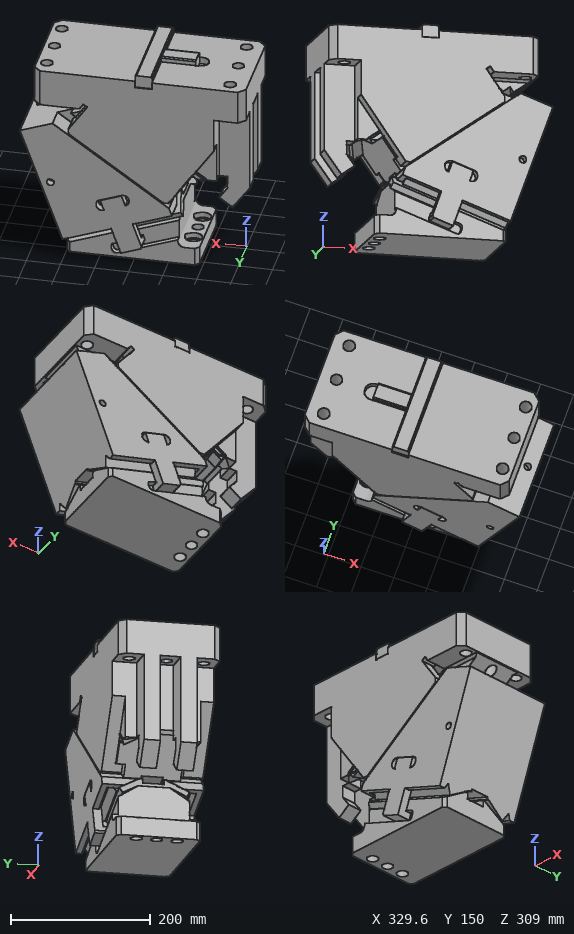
import cadquery as cq
import math

WIDTH = 150.0
HALF = WIDTH / 2
HEIGHT = 309.0
REACH = 329.5

DRIVE_ANGLE = 35
BASE_ANGLE = -20
DRIVE_ORIGIN = (112.5, 99.2)
BASE_ORIGIN = (106.5, 85.0)
ROOF_SLOPE = math.tan(math.radians(30))
RIDGE_HALF = 19.0
PLATE_THICK = 9.2

HOLDER_TOP = 301.0
HOLDER_LENGTH = 310.0
FRONT_STEP_Z = 250.0
REAR_STEP_Z = 245.0
CORNER_CHAMFER = 10.2
WALL_X = 45.0
WALL_BACK_X = 131.8
WALL_BOTTOM_Z = 138.7
WALL_HALF = 55.7
LEG_INNER = 15.0
LEG_OUTER = 39.2
LEG_TOE = [(0, 123.2), (25.5, 88.5), (WALL_X, 102.8), (33, 119.5), (33, WALL_BOTTOM_Z)]
CHEEK_START = 2.3
CHEEK_END = 183.0
CHEEK_GAP = 0.5
CHEEK_CORNER_LONG = 6.5
CHEEK_CORNER_SHORT = 4.5
REAR_SLOT_WIDTH = 7.0
REAR_SLOT_TOP = 55.0
WEDGE_BOTTOM = 7.5
WEDGE_HALF = 37.2
WEDGE_CHAMFER = 4.0
RELIEF_HEIGHT, RELIEF_DEPTH = 9.2, 15.8
RELIEF_END = 211
WEAR_PLATE_START = -17.0
WALL_CUT_START = -34.5
MOUNT_HOLE = 17.0
DOWEL_HOLE = 16.5
FRONT_HOLES_X, FRONT_HOLES_Y = 25.5, 55.0
REAR_HOLES_X, REAR_HOLES_Y = 295.0, 50.0

KEY_X, KEY_WIDTH = 135.8, 25.0
KEY_BOTTOM_Z = 290.3
KEY_HALF = 73.0
KEY_CHAMFER = 2.0
STEM_X = 85.0
STEM_HALF = 12.5
STEM_POCKET_X = 68.5

NECK_HALF, NECK_SLOT_HALF = 42.0, 45.5
HEAD_HALF = 55.0
HEAD_BOTTOM, LIP_TOP = 18.8, 18.0
HEAD_EAVE = 54.0
EAVE_HALF = 52.5

SLIDE_LENGTH = 170.7
SLIDE_HEIGHT = 183.2
SLIDE_NOSE = 12.5
SHOE_START = 8.5
SHOE_TOP_HALF, SHOE_HALF, SHOE_DROP = 55.7, 52.5, 5.5
NOTCH_PEAK_HALF, NOTCH_PEAK = 60.5, 8.5
NOTCH_HALF = 66
SLIDE_GROOVE_TOP = 17.0
SCREW_HOLE, SCREW_DEPTH = 10.2, 13.2
SCREW_S, SCREW_N = 156.0, 92.5

STRAP_START, STRAP_WIDTH = 61.3, 33.3
STRAP_BOTTOM, STRAP_TOP = -41.0, 47.8
STRAP_CHAMFER = 2.5
STRAP_SLOT_MARGIN = 8.5
STRAP_SLOT_BOTTOM, STRAP_SLOT_TOP = 31.3, 48.5
HOOK_TOP = -30.3

BASE_HALF = 62.0
BASE_X0, BASE_X1 = 70.0, 263.5
FLANGE_Z = 27.5
BASE_BLANK_Z = 115.3
BASE_WALL_X = 100.5
FLANGE_FILLET = 10
BASE_FRONT_CHAMFER, BASE_REAR_CHAMFER = 6.3, 5.0
BASE_EAVE_HALF, BASE_EAVE = 52.0, -8.5
BASE_REAR_EAVE = -7.0
BASE_PLATE_START = -5.3
BASE_PLATE_END = 77.5
BASE_PLATE_FLAT, BASE_PLATE_FLAT_HALF = -3.3, 23.5
RIDGE_GROOVE_HALF, RIDGE_GROOVE_FLOOR = 15.8, 2.3
POCKET_HALF = 52.5
POCKET_FLOOR, POCKET_CEILING = -45.5, -29.5
POCKET_END = 110.5
POCKET_RADIUS = 6.0
FLANGE_HOLES_X, FLANGE_HOLES_Y = 84.5, 30.0
FLANGE_BORE, FLANGE_BORE_DEPTH = 25.0, 8.2


def side_plane(origin, angle):
    """XZ plane turned by `angle`: its first axis runs along the joint, its second away from it."""
    a = math.radians(angle)
    return cq.Plane(origin=(origin[0], 0, origin[1]), xDir=(math.cos(a), 0, math.sin(a)), normal=(0, -1, 0))


DRIVE = side_plane(DRIVE_ORIGIN, DRIVE_ANGLE)
BASE = side_plane(BASE_ORIGIN, BASE_ANGLE)
UPRIGHT = side_plane((0, 0), 0)


def side_prism(plane, points, y0, y1):
    """Outline in a side plane, filling the Y range y0 to y1."""
    return cq.Workplane(plane).workplane(offset=-y1).polyline(points).close().extrude(y1 - y0)


def side_box(plane, along, away, y0, y1):
    """Block given by its ranges along the joint, away from it, and in Y."""
    (s0, s1), (n0, n1) = along, away
    return side_prism(plane, [(s0, n0), (s1, n0), (s1, n1), (s0, n1)], y0, y1)


def guide(plane, half_points, start, end):
    """Cross-section symmetric in Y, given as (y, away) from the middle outwards, run along the joint."""
    section = cq.Plane(origin=plane.toWorldCoords((start, 0, 0)), xDir=(0, 1, 0), normal=plane.xDir)
    mirrored = [(-y, n) for y, n in reversed(half_points)]
    return cq.Workplane(section).polyline(half_points + mirrored).close().extrude(end - start)


def both_sides(body):
    """The body together with its mirror image in Y."""
    return body.union(body.mirror("XZ"))


def upright_holes(x, y_places, diameter, z0, z1):
    """Vertical holes in a row across Y."""
    places = [(x, y) for y in y_places]
    return cq.Workplane("XY").workplane(offset=z0).pushPoints(places).circle(diameter / 2).extrude(z1 - z0)


def roof_rise(eave_half):
    """Height of a roof's ridge flat above its eave."""
    return (eave_half - RIDGE_HALF) * ROOF_SLOPE


HEAD_RIDGE = HEAD_EAVE + roof_rise(EAVE_HALF)
BASE_RIDGE = BASE_EAVE + roof_rise(BASE_EAVE_HALF)


def holder_plate():
    plate = side_box(UPRIGHT, (0, HOLDER_LENGTH), (REAR_STEP_Z, HOLDER_TOP), -HALF, HALF)
    plate = plate.edges("|Z").chamfer(CORNER_CHAMFER)
    step = side_box(UPRIGHT, (0, WALL_X), (REAR_STEP_Z, FRONT_STEP_Z), -HALF, HALF)
    return plate.cut(step)


def holder_cheeks():
    """Full-width block with its underside along the drive joint."""
    block = side_prism(DRIVE, [
        (CHEEK_START, CHEEK_GAP + CHEEK_CORNER_SHORT),
        (CHEEK_START + CHEEK_CORNER_LONG, CHEEK_GAP),
        (CHEEK_END - CHEEK_CORNER_SHORT, CHEEK_GAP),
        (CHEEK_END, CHEEK_GAP + CHEEK_CORNER_LONG),
        (CHEEK_END, REACH),
        (CHEEK_START, REACH),
    ], -HALF, HALF)
    limits = side_box(UPRIGHT, (WALL_X, HOLDER_LENGTH), (0, FRONT_STEP_Z), -HALF, HALF)
    return block.intersect(limits)


def holder_wall():
    """Narrower block that closes the front between the cheeks."""
    return side_box(UPRIGHT, (WALL_X, WALL_BACK_X), (WALL_BOTTOM_Z, FRONT_STEP_Z), -WALL_HALF, WALL_HALF)


def holder_leg():
    outline = [(0, FRONT_STEP_Z)] + LEG_TOE + [(WALL_X, WALL_BOTTOM_Z), (WALL_X, FRONT_STEP_Z)]
    return side_prism(UPRIGHT, outline, LEG_INNER, LEG_OUTER)


def holder_wedge():
    """Block under the rear of the plate, clear of the end of the slide."""
    slot_end = CHEEK_END + REAR_SLOT_WIDTH
    block = side_box(DRIVE, (slot_end, REACH), (WEDGE_BOTTOM, REACH), -HALF, HALF)
    neck_z = REAR_STEP_Z - WEDGE_CHAMFER
    root = WEDGE_HALF + WEDGE_CHAMFER
    half_section = [(root, REAR_STEP_Z), (WEDGE_HALF, neck_z), (WEDGE_HALF, 0)]
    mirrored = [(-y, z) for y, z in reversed(half_section)]
    section = cq.Workplane("YZ").polyline(half_section + mirrored).close().extrude(HOLDER_LENGTH)
    slide_path = side_box(BASE, (-REACH, REACH), (-REACH, SLIDE_HEIGHT), -HALF, HALF)
    bevel_top = WEDGE_BOTTOM + RELIEF_HEIGHT
    bevel_inner = WEDGE_HALF - RELIEF_DEPTH
    relief_area = guide(DRIVE, [(HALF, bevel_top), (HALF, 0), (bevel_inner, 0)], slot_end, RELIEF_END)
    relief_keep = guide(DRIVE, [(WEDGE_HALF, bevel_top), (bevel_inner, WEDGE_BOTTOM)], slot_end, RELIEF_END)
    relief = relief_area.cut(relief_keep)
    return block.intersect(section).cut(slide_path).cut(relief)


def head_slot():
    """T-slot for the head of the slide, with a roof-shaped ceiling."""
    slot_end = CHEEK_END + REAR_SLOT_WIDTH
    slot = guide(DRIVE, [
        (RIDGE_HALF, HEAD_RIDGE),
        (EAVE_HALF, HEAD_EAVE),
        (WALL_HALF, HEAD_EAVE),
        (WALL_HALF, LIP_TOP),
        (NECK_SLOT_HALF, LIP_TOP),
        (NECK_SLOT_HALF, -SLIDE_NOSE),
    ], WEAR_PLATE_START, slot_end)
    ahead_of_plate = guide(DRIVE, [
        (RIDGE_HALF, HEAD_RIDGE + PLATE_THICK),
        (EAVE_HALF, HEAD_EAVE + PLATE_THICK),
        (WALL_HALF, HEAD_EAVE + PLATE_THICK),
        (WALL_HALF, -SLIDE_NOSE),
    ], WALL_CUT_START, WEAR_PLATE_START)
    return slot.union(ahead_of_plate)


def wear_plate():
    """Roof-shaped wear plate above the head, its front end standing out of the wall."""
    outer_y = EAVE_HALF + PLATE_THICK / 2
    return guide(DRIVE, [
        (RIDGE_HALF, HEAD_RIDGE + PLATE_THICK),
        (outer_y, HEAD_EAVE + PLATE_THICK),
        (EAVE_HALF, HEAD_EAVE),
        (RIDGE_HALF, HEAD_RIDGE),
    ], WEAR_PLATE_START, CHEEK_END)


def key_seat():
    """Groove across the plate and the round-ended pocket for the stem of the key."""
    depth = HOLDER_TOP - KEY_BOTTOM_Z
    groove = side_box(UPRIGHT, (KEY_X, KEY_X + KEY_WIDTH), (KEY_BOTTOM_Z, HOLDER_TOP), -HALF, HALF)
    centre = STEM_POCKET_X + STEM_HALF
    floor = cq.Workplane("XY").workplane(offset=KEY_BOTTOM_Z)
    pocket = floor.center(centre, 0).circle(STEM_HALF).extrude(depth)
    straight = side_box(UPRIGHT, (centre, KEY_X), (KEY_BOTTOM_Z, HOLDER_TOP), -STEM_HALF, STEM_HALF)
    return groove.union(pocket).union(straight)


def key():
    bar = side_box(UPRIGHT, (KEY_X, KEY_X + KEY_WIDTH), (KEY_BOTTOM_Z, HEIGHT), -KEY_HALF, KEY_HALF)
    bar = bar.edges(">Z and |Y").chamfer(KEY_CHAMFER)
    stem = side_box(UPRIGHT, (STEM_X, KEY_X), (KEY_BOTTOM_Z, HEIGHT), -STEM_HALF, STEM_HALF)
    stem = stem.edges(">Z and |X").chamfer(KEY_CHAMFER)
    return bar.union(stem)


def make_holder():
    slot_end = CHEEK_END + REAR_SLOT_WIDTH
    body = holder_plate().union(holder_cheeks()).union(holder_wall()).union(holder_wedge())
    body = body.cut(side_box(DRIVE, (CHEEK_END, slot_end), (-REACH, REAR_SLOT_TOP), -HALF, HALF))
    body = body.cut(head_slot()).union(wear_plate())
    body = body.union(both_sides(holder_leg()))
    body = body.cut(key_seat()).union(key())
    for x, y in ((FRONT_HOLES_X, FRONT_HOLES_Y), (REAR_HOLES_X, REAR_HOLES_Y)):
        body = body.cut(upright_holes(x, (-y, y), MOUNT_HOLE, 0, HOLDER_TOP))
        body = body.cut(upright_holes(x, (0,), DOWEL_HOLE, 0, HOLDER_TOP))
    return body


def slide_block():
    """Rectangle along the base joint with its upper left corner cut off along the drive joint."""
    drive_run = (SLIDE_HEIGHT - SLIDE_NOSE) / math.tan(math.radians(DRIVE_ANGLE - BASE_ANGLE))
    return side_prism(BASE, [
        (0, 0),
        (SLIDE_LENGTH, 0),
        (SLIDE_LENGTH, SLIDE_HEIGHT),
        (drive_run, SLIDE_HEIGHT),
        (0, SLIDE_NOSE),
    ], -HALF, HALF)


def slide_head():
    """T-shaped rail with a roof-shaped top, ending flush with the upper end of the slide."""
    rail = guide(DRIVE, [
        (RIDGE_HALF, HEAD_RIDGE),
        (EAVE_HALF, HEAD_EAVE),
        (HEAD_HALF, HEAD_EAVE),
        (HEAD_HALF, HEAD_BOTTOM),
        (NECK_HALF, HEAD_BOTTOM),
        (NECK_HALF, -SHOE_DROP),
    ], 0, REACH)
    return rail.intersect(side_box(BASE, (-REACH, REACH), (-REACH, SLIDE_HEIGHT), -HALF, HALF))


def slide_shoe():
    """Ridges below the slide that straddle the roof of the base."""
    return guide(BASE, [(SHOE_TOP_HALF, 0), (SHOE_HALF, -SHOE_DROP)], SHOE_START, SLIDE_LENGTH)


def shoe_notches():
    """V-notches in the underside of the slide, beside the ridges of the shoe."""
    section = cq.Plane(origin=BASE.toWorldCoords((SHOE_START, 0, 0)), xDir=(0, 1, 0), normal=BASE.xDir)
    corners = [(-NOTCH_HALF, 0), (-NOTCH_PEAK_HALF, NOTCH_PEAK), (-SHOE_TOP_HALF, 0)]
    notch = cq.Workplane(section).polyline(corners).close().extrude(REACH)
    return both_sides(notch)


def slide_roof_cut():
    """Clearance for the roof of the base, grooved along its ridge."""
    ridge = -SHOE_DROP + roof_rise(SHOE_HALF)
    roof = guide(BASE, [(RIDGE_HALF, ridge), (SHOE_HALF, -SHOE_DROP)], -SHOE_START, REACH)
    along = (-SHOE_START, REACH)
    groove = side_box(BASE, along, (0, SLIDE_GROOVE_TOP), -RIDGE_GROOVE_HALF, RIDGE_GROOVE_HALF)
    return roof.union(groove)


def strap_slot():
    slot_length = STRAP_WIDTH + 2 * STRAP_SLOT_MARGIN
    middle = (STRAP_START + STRAP_WIDTH / 2, (STRAP_SLOT_BOTTOM + STRAP_SLOT_TOP) / 2)
    slot = cq.Workplane(BASE).workplane(offset=BASE_HALF).center(*middle)
    return slot.slot2D(slot_length, STRAP_SLOT_TOP - STRAP_SLOT_BOTTOM).extrude(HALF - BASE_HALF)


def strap():
    """Plate over the side of the base, with a hook that reaches into the pocket of the base."""
    along = (STRAP_START, STRAP_START + STRAP_WIDTH)
    plate = side_box(BASE, along, (STRAP_BOTTOM, STRAP_TOP), -HALF, -BASE_HALF)
    hook = side_box(BASE, along, (STRAP_BOTTOM, HOOK_TOP), -BASE_HALF, -POCKET_HALF)
    strap_body = plate.union(hook)
    corner = side_prism(BASE, [
        (along[0], STRAP_BOTTOM),
        (along[0] + STRAP_CHAMFER, STRAP_BOTTOM),
        (along[0], STRAP_BOTTOM + STRAP_CHAMFER),
    ], -HALF, -POCKET_HALF)
    return strap_body.cut(corner)


def screw_hole(mouth, inward):
    """Blind hole with a drill point."""
    radius = SCREW_HOLE / 2
    bore = cq.Solid.makeCylinder(radius, SCREW_DEPTH, mouth, inward)
    point = cq.Solid.makeCone(radius, 0, radius * ROOF_SLOPE, mouth + inward * SCREW_DEPTH, inward)
    return cq.Workplane(bore).union(cq.Workplane(point))


def screw_holes():
    side_hole = screw_hole(BASE.toWorldCoords((SCREW_S, SCREW_N, HALF)), -BASE.zDir)
    end_hole = screw_hole(BASE.toWorldCoords((SCREW_S, SLIDE_HEIGHT, 0)), -BASE.yDir)
    return both_sides(side_hole).union(end_hole)


def make_slide():
    body = slide_block().union(slide_shoe()).union(slide_head())
    body = body.cut(slide_roof_cut()).cut(shoe_notches())
    body = body.cut(both_sides(strap_slot())).union(both_sides(strap()))
    return body.cut(screw_holes())


def base_block():
    outline = (
        cq.Workplane(UPRIGHT)
        .moveTo(BASE_X0, 0)
        .lineTo(BASE_X1, 0)
        .lineTo(BASE_X1, BASE_BLANK_Z)
        .lineTo(BASE_WALL_X, BASE_BLANK_Z)
        .lineTo(BASE_WALL_X, FLANGE_Z + FLANGE_FILLET)
        .radiusArc((BASE_WALL_X - FLANGE_FILLET, FLANGE_Z), FLANGE_FILLET)
        .lineTo(BASE_X0, FLANGE_Z)
        .close()
    )
    block = outline.extrude(BASE_HALF, both=True)
    block = block.edges("|Z and <X").chamfer(BASE_FRONT_CHAMFER)
    return block.edges("|Z and >X").chamfer(BASE_REAR_CHAMFER)


def above_roof(ridge_half, ridge, start, end):
    """Everything above a roof with a flat ridge of the given half width and height."""
    edge = ridge - (HALF - ridge_half) * ROOF_SLOPE
    return guide(BASE, [(ridge_half, ridge), (HALF, edge), (HALF, REACH)], start, end)


def base_plate():
    """Roof-shaped wear plate on the front part of the base."""
    back_y = BASE_EAVE_HALF - PLATE_THICK / 2
    back_n = BASE_PLATE_FLAT - (back_y - BASE_PLATE_FLAT_HALF) * ROOF_SLOPE
    return guide(BASE, [
        (RIDGE_HALF, BASE_RIDGE),
        (BASE_EAVE_HALF, BASE_EAVE),
        (back_y, back_n),
        (BASE_PLATE_FLAT_HALF, BASE_PLATE_FLAT),
    ], BASE_PLATE_START, BASE_PLATE_END)


def ridge_groove():
    """Groove along the ridge of the base."""
    return side_box(BASE, (-REACH, REACH), (RIDGE_GROOVE_FLOOR, REACH), -RIDGE_GROOVE_HALF, RIDGE_GROOVE_HALF)


def base_pocket():
    """Side pocket for the strap hook: open above at the front, under a lip at its round end."""
    floor_and_ceiling = (POCKET_FLOOR, POCKET_CEILING)
    lower = side_box(BASE, (-REACH, POCKET_END), floor_and_ceiling, -HALF, -POCKET_HALF)
    lower = lower.faces(">X").edges("|Y").fillet(POCKET_RADIUS)
    upper = side_box(BASE, (-REACH, BASE_PLATE_END), (POCKET_CEILING, REACH), -HALF, -POCKET_HALF)
    flange = side_box(UPRIGHT, (0, BASE_WALL_X), (0, REACH), -HALF, HALF)
    return lower.union(upper).cut(flange)


def flange_holes():
    ys = (-FLANGE_HOLES_Y, FLANGE_HOLES_Y)
    bore_floor = FLANGE_Z - FLANGE_BORE_DEPTH
    bore_top = FLANGE_Z + FLANGE_FILLET
    holes = upright_holes(FLANGE_HOLES_X, ys, MOUNT_HOLE, 0, FLANGE_Z)
    dowel = upright_holes(FLANGE_HOLES_X, (0,), DOWEL_HOLE, 0, bore_top)
    bores = upright_holes(FLANGE_HOLES_X, ys, FLANGE_BORE, bore_floor, bore_top)
    return holes.union(dowel).union(bores)


def make_base():
    body = base_block()
    rear_ridge = BASE_REAR_EAVE + roof_rise(BASE_EAVE_HALF)
    body = body.cut(above_roof(RIDGE_HALF, rear_ridge, BASE_PLATE_END, REACH))
    body = body.cut(above_roof(BASE_PLATE_FLAT_HALF, BASE_PLATE_FLAT, -REACH, BASE_PLATE_END))
    body = body.cut(both_sides(base_pocket()))
    return body.union(base_plate()).cut(ridge_groove()).cut(flange_holes())


holder = make_holder()
slide = make_slide()
base = make_base()
result = cq.Compound.makeCompound([body.solids().val() for body in (holder, slide, base)])